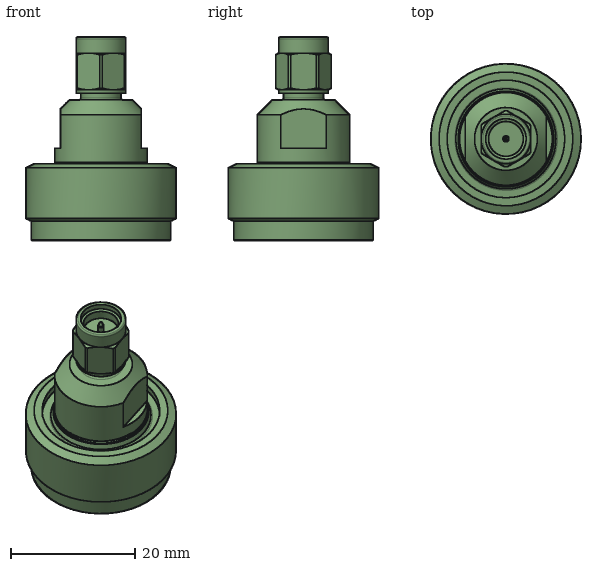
import cadquery as cq
import math

total_height = 32.75
ring_radius = 12.1
ring_top = 12.4
ring_top_edge_radius = 10.75
ring_shoulder = 11.7
ring_taper_top = 3.6
ring_taper_bottom = 3.15
skirt_radius = 11.25
skirt_chamfer = 0.2

recess_radius = 9.45
recess_floor = 11.2
foot_fillet = 0.2
foot_radius = 8.05
foot_top_radius = 7.69
foot_top = 12.3
foot_top_chamfer = 0.12

undercut_radius = 7.05
body_bottom = 12.6
body_radius = 7.45
cone_top = 22.65
cone_top_radius = 5.05
cone_bottom = cone_top - (body_radius - cone_top_radius)
across_wrench_flats = 13.0
flat_bottom = 14.9

neck_radius = 3.25
neck_fillet = 0.3

hex_sides = 6
nut_radius = 4.0
nut_bottom = 23.67
nut_top_fillet = 0.25
hex_bottom = 24.27
hex_top = 30.17
hex_across_flats = 8.0
hex_corner_radius = 4.5
hex_chamfer_height = 0.27

mouth_radius = 3.25
bore_radius = 2.8
step_top = 31.8
step_bottom = 31.65
socket_floor = 30.12

pin_radius = 0.48
pin_shoulder = 31.1
nose_radius = 0.36
nose_bottom = 31.25
nose_middle_radius = 0.3
nose_middle = 31.6
pin_tip_radius = 0.08
pin_top = 31.92


def revolve_about_axis(outline):
    """Turn a closed (radius, height) outline about the Z axis."""
    return outline.close().revolve(360, (0, 0, 0), (0, 1, 0))


def inside_fillet(outline, wall_radius, floor, fillet):
    """Add the fillet arc that leads from a floor up into a wall."""
    inset = fillet * (1 - math.sqrt(0.5))
    middle = (wall_radius + inset, floor + inset)
    return outline.threePointArc(middle, (wall_radius, floor + fillet))


def outside_fillet(outline, wall_radius, top, fillet):
    """Add the fillet arc that leads from a wall over onto a top face."""
    inset = fillet * (1 - math.sqrt(0.5))
    middle = (wall_radius - inset, top - inset)
    return outline.threePointArc(middle, (wall_radius - fillet, top))


def make_turned_body():
    """Coupling ring, recess, body, neck and round part of the nut as one turned shape."""
    outline = (
        cq.Workplane("XZ")
        .lineTo(skirt_radius - skirt_chamfer, 0)
        .lineTo(skirt_radius, skirt_chamfer)
        .lineTo(skirt_radius, ring_taper_bottom)
        .lineTo(ring_radius, ring_taper_top)
        .lineTo(ring_radius, ring_shoulder)
        .lineTo(ring_top_edge_radius, ring_top)
        .lineTo(recess_radius, ring_top)
        .lineTo(recess_radius, recess_floor)
        .lineTo(foot_radius + foot_fillet, recess_floor)
    )
    outline = inside_fillet(outline, foot_radius, recess_floor, foot_fillet)
    outline = (
        outline
        .lineTo(foot_top_radius, foot_top - foot_top_chamfer)
        .lineTo(foot_top_radius - foot_top_chamfer, foot_top)
        .lineTo(undercut_radius, foot_top)
        .lineTo(undercut_radius, body_bottom)
        .lineTo(body_radius, body_bottom)
        .lineTo(body_radius, cone_bottom)
        .lineTo(cone_top_radius, cone_top)
        .lineTo(neck_radius + neck_fillet, cone_top)
    )
    outline = inside_fillet(outline, neck_radius, cone_top, neck_fillet)
    outline = (
        outline
        .lineTo(neck_radius, nut_bottom)
        .lineTo(nut_radius, nut_bottom)
        .lineTo(nut_radius, total_height - nut_top_fillet)
    )
    outline = outside_fillet(outline, nut_radius, total_height, nut_top_fillet)
    return revolve_about_axis(outline.lineTo(0, total_height))


def cut_wrench_flats(solid):
    """Mill the two parallel flats on the +X and -X sides of the body."""
    depth = body_radius - across_wrench_flats / 2
    width = 2 * body_radius
    height = cone_top - flat_bottom
    for side in (-1, 1):
        cutter_centre = side * (across_wrench_flats + depth) / 2
        cutter = (
            cq.Workplane("XY", origin=(cutter_centre, 0, flat_bottom))
            .box(depth, width, height, centered=(True, True, False))
        )
        solid = solid.cut(cutter)
    return solid


def make_hexagon():
    """Hexagon with flats facing +X and -X, its corners turned round and chamfered."""
    half_side_angle = 180 / hex_sides
    corner_diameter = hex_across_flats / math.cos(math.radians(half_side_angle))
    prism = (
        cq.Workplane("XY", origin=(0, 0, hex_bottom))
        .polygon(hex_sides, corner_diameter)
        .extrude(hex_top - hex_bottom)
        .rotate((0, 0, 0), (0, 0, 1), half_side_angle)
    )
    envelope = revolve_about_axis(
        cq.Workplane("XZ")
        .moveTo(0, hex_bottom)
        .lineTo(nut_radius, hex_bottom)
        .lineTo(hex_corner_radius, hex_bottom + hex_chamfer_height)
        .lineTo(hex_corner_radius, hex_top - hex_chamfer_height)
        .lineTo(nut_radius, hex_top)
        .lineTo(0, hex_top)
    )
    return prism.intersect(envelope)


def make_socket():
    """Stepped bore of the nut, leaving the pointed centre pin standing on its floor."""
    return revolve_about_axis(
        cq.Workplane("XZ")
        .moveTo(pin_radius, socket_floor)
        .lineTo(bore_radius, socket_floor)
        .lineTo(bore_radius, step_bottom)
        .lineTo(mouth_radius, step_top)
        .lineTo(mouth_radius, total_height)
        .lineTo(0, total_height)
        .lineTo(0, pin_top)
        .lineTo(pin_tip_radius, pin_top)
        .threePointArc((nose_middle_radius, nose_middle), (nose_radius, nose_bottom))
        .lineTo(pin_radius, pin_shoulder)
    )


body = cut_wrench_flats(make_turned_body())
result = body.union(make_hexagon()).cut(make_socket())